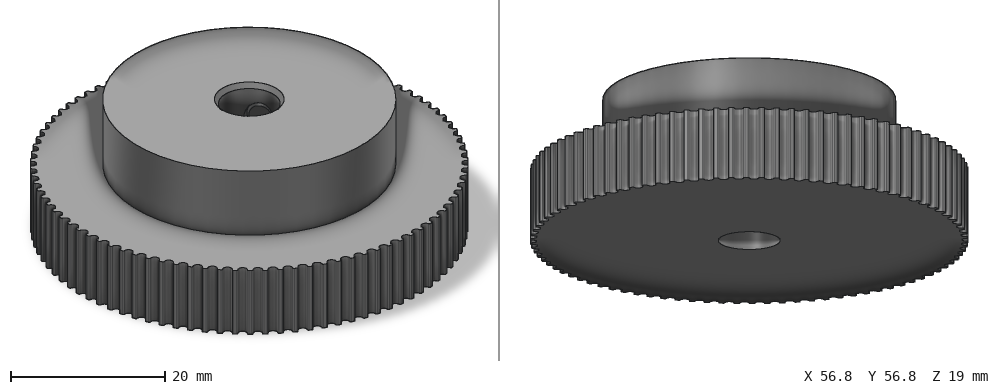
import cadquery as cq
import math

tooth_count = 90
rim_diameter = 56.8
rim_height = 9.5
groove_radius = 0.6
tip_round = 0.15

total_height = 19.0
hub_diameter = 38.05

bore_diameter = 8.0
countersink_diameter = 9.05
countersink_depth = 0.7

screw_diameter = 4.2
screw_tip_chamfer = 0.45
screw_directions = [(1, 0, 0), (0, 1, 0)]

rim_radius = rim_diameter / 2
bore_radius = bore_diameter / 2
hub_height = total_height - rim_height
screw_height = rim_height + hub_height / 2
tooth_pitch_angle = 2 * math.pi / tooth_count


def groove_point(radial, sideways, angle):
    """Turn a point of a groove centred on the +X axis to the given angle."""
    x = radial * math.cos(angle) - sideways * math.sin(angle)
    y = radial * math.sin(angle) + sideways * math.cos(angle)
    return (x, y)


def make_rim():
    """Extrude the tooth outline: round-bottomed grooves between tips with rounded corners."""
    round_offset = groove_radius + tip_round
    round_center = math.sqrt((rim_radius - tip_round) ** 2 - round_offset ** 2)
    tip_scale = rim_radius / (rim_radius - tip_round)
    tip_radial = round_center * tip_scale
    tip_side = round_offset * tip_scale
    tip_direction = math.atan2(round_offset, round_center)
    middle_direction = (tip_direction - math.pi / 2) / 2
    middle_radial = round_center + tip_round * math.cos(middle_direction)
    middle_side = round_offset + tip_round * math.sin(middle_direction)

    first_angle = tooth_pitch_angle / 2
    outline = cq.Workplane("XY").moveTo(*groove_point(tip_radial, -tip_side, first_angle))
    for tooth in range(tooth_count):
        angle = first_angle + tooth * tooth_pitch_angle
        next_angle = angle + tooth_pitch_angle
        tip_angle = angle + tooth_pitch_angle / 2
        outline = (
            outline
            .threePointArc(
                groove_point(middle_radial, -middle_side, angle),
                groove_point(round_center, -groove_radius, angle),
            )
            .threePointArc(
                groove_point(round_center - groove_radius, 0, angle),
                groove_point(round_center, groove_radius, angle),
            )
            .threePointArc(
                groove_point(middle_radial, middle_side, angle),
                groove_point(tip_radial, tip_side, angle),
            )
            .threePointArc(
                groove_point(rim_radius, 0, tip_angle),
                groove_point(tip_radial, -tip_side, next_angle),
            )
        )
    return outline.close().extrude(rim_height)


def make_hub():
    return cq.Workplane("XY").workplane(offset=rim_height).circle(hub_diameter / 2).extrude(hub_height)


def make_bore():
    """Through bore, widened by a cone at the top of the hub."""
    profile = [
        (0, 0),
        (bore_radius, 0),
        (bore_radius, total_height - countersink_depth),
        (countersink_diameter / 2, total_height),
        (0, total_height),
    ]
    return cq.Workplane("XZ").polyline(profile).close().revolve(360, (0, 0, 0), (0, 1, 0))


def make_screw_tip_gap(direction):
    """Space in the hub wall around one screw tip: a blind hole minus the chamfered tip cone."""
    axis = cq.Vector(*direction)
    bore_center = cq.Vector(0, 0, screw_height)
    screw_radius = screw_diameter / 2
    hole = cq.Solid.makeCylinder(screw_radius, bore_radius + screw_tip_chamfer, bore_center, axis)
    tip = cq.Solid.makeCone(
        screw_radius - screw_tip_chamfer,
        screw_radius,
        screw_tip_chamfer,
        bore_center + axis * bore_radius,
        axis,
    )
    return cq.Workplane(obj=hole.cut(tip))


result = make_rim().union(make_hub()).cut(make_bore())
for direction in screw_directions:
    result = result.cut(make_screw_tip_gap(direction))